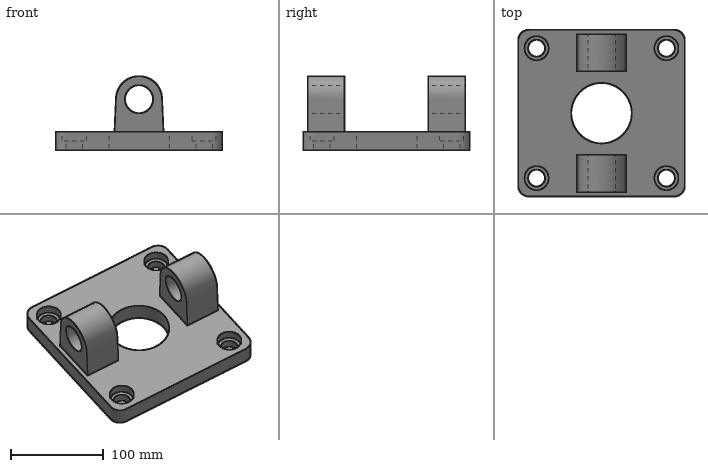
import cadquery as cq
import math

plate_side = 180.0
plate_thickness = 20.0
corner_radius = 12.0
bore_diameter = 65.0

bolt_pitch = 140.0
bolt_diameter = 18.0
counterbore_diameter = 26.0
counterbore_depth = 10.0

lug_radius = 25.0
lug_draft_angle = 2.5
lug_inner_gap = 90.0
lug_length = 40.0
pin_diameter = 30.0
overall_height = 80.0
pin_height = overall_height - lug_radius


def make_plate():
    """Rounded square plate with a central bore and four counterbored holes."""
    return (
        cq.Workplane("XY")
        .box(plate_side, plate_side, plate_thickness, centered=(True, True, False))
        .edges("|Z")
        .fillet(corner_radius)
        .faces(">Z")
        .workplane()
        .hole(bore_diameter)
        .faces(">Z")
        .workplane()
        .rect(bolt_pitch, bolt_pitch, forConstruction=True)
        .vertices()
        .cboreHole(bolt_diameter, counterbore_diameter, counterbore_depth)
    )


def make_lug(y_start):
    """Tapered lug running along +Y from y_start, its flanks tangent to the round top."""
    draft = math.radians(lug_draft_angle)
    tangent_x = lug_radius * math.cos(draft)
    tangent_z = pin_height + lug_radius * math.sin(draft)
    half_base = tangent_x + (tangent_z - plate_thickness) * math.tan(draft)

    body = (
        cq.Workplane("XZ", origin=(0, y_start, 0))
        .moveTo(-half_base, plate_thickness)
        .lineTo(half_base, plate_thickness)
        .lineTo(tangent_x, tangent_z)
        .threePointArc((0, overall_height), (-tangent_x, tangent_z))
        .close()
        .extrude(-lug_length)
    )
    pin_hole = (
        cq.Workplane("XZ", origin=(0, y_start, pin_height))
        .circle(pin_diameter / 2)
        .extrude(-lug_length)
    )
    return body.cut(pin_hole)


result = make_plate()
for y_start in (lug_inner_gap / 2, -lug_inner_gap / 2 - lug_length):
    result = result.union(make_lug(y_start))